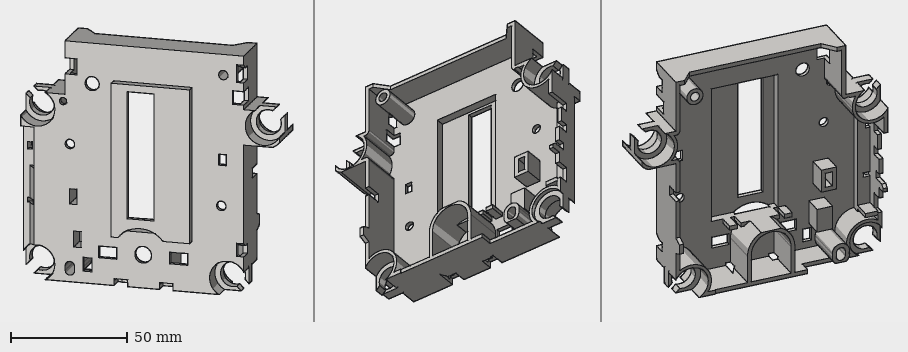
import cadquery as cq
import math

LENGTH = 116.0
HEIGHT = 108.0
DEPTH = 20.2
WALL = 2.0
BOSS_BACK = 19.8
LOW_BACK = 14.2

BODY_RIGHT = 100.0
HEAD_LEFT = 19.8
SHOULDER_Z = 84.0
LUG_BOTTOM_Z = 68.1

LUG_INSET = 7.2
LUG_TUBE_R = 9.6
LUG_BORE_R = 8.1
LUG_HOLE_R = 5.6
LUG_GAP = 5.0
WEB_FRONT = 8.0
WEB_BACK = 12.3
LUGS = [
    (LUG_INSET, LUG_INSET, 225),
    (LUG_INSET, SHOULDER_Z - LUG_INSET, 135),
    (LENGTH - LUG_INSET, SHOULDER_Z - LUG_INSET, 45),
    (BODY_RIGHT - LUG_INSET, LUG_INSET, 315),
]

PAD_HEIGHT = 4.0
PAD_FLOOR = 2.2
PAD_LEFT, PAD_RIGHT = 41.8, 76.9
PAD_BOTTOM, PAD_TOP = 23.0, 92.0
PAD_HOLLOW_BOTTOM = 25.0
WINDOW_LEFT, WINDOW_RIGHT = 49.0, 60.9
WINDOW_BOTTOM, WINDOW_TOP = 31.8, 88.7

CENTRE_X, CENTRE_Z = 54.9, 15.0
CENTRE_HOLE_R = 3.7
ARCH_R = 11.1
ARCH_WALL = 1.7
PAD_ARC_R = 12.9

LEDGE_WIDTH = 5.9
LEDGE_DEPTH = 4.0
RAMP_LEFT = 3.0
RAMP_TOP = 49.6

OVER = 1.2


def box(x0, x1, y0, y1, z0, z1):
    return cq.Workplane("XY").box(x1 - x0, y1 - y0, z1 - z0, centered=False).translate((x0, y0, z0))


def plane_at(y):
    return cq.Workplane("XZ", origin=(0, y, 0))


def cylinder(x, z, radius, y0, y1):
    return plane_at(y0).center(x, z).circle(radius).extrude(y0 - y1)


def obround(x, z0, z1, radius, y0, y1):
    """Upright slot shape whose round ends are centred at z0 and z1."""
    middle = box(x - radius, x + radius, y0, y1, z0, z1)
    return middle.union(cylinder(x, z0, radius, y0, y1)).union(cylinder(x, z1, radius, y0, y1))


def side_profile(points, x0, x1):
    """Prism along X from (y, z) points."""
    return cq.Workplane("YZ", origin=(x0, 0, 0)).polyline(points).close().extrude(x1 - x0)


def outline(y):
    reach = LUG_TUBE_R
    lug_x, lug_z, _ = LUGS[2]
    arc_x = lug_x + math.sqrt(reach**2 - (lug_z - LUG_BOTTOM_Z) ** 2)
    arc_z = lug_z - math.sqrt(reach**2 - (LENGTH - lug_x) ** 2)
    middle = (lug_x + reach * math.sqrt(0.5), lug_z - reach * math.sqrt(0.5))
    return (
        plane_at(y)
        .moveTo(0, 0)
        .lineTo(BODY_RIGHT, 0)
        .lineTo(BODY_RIGHT, LUG_BOTTOM_Z)
        .lineTo(arc_x, LUG_BOTTOM_Z)
        .threePointArc(middle, (LENGTH, arc_z))
        .lineTo(LENGTH, SHOULDER_Z)
        .lineTo(BODY_RIGHT, SHOULDER_Z)
        .lineTo(BODY_RIGHT, HEIGHT)
        .lineTo(HEAD_LEFT, HEIGHT)
        .lineTo(HEAD_LEFT, SHOULDER_Z)
        .lineTo(0, SHOULDER_Z)
        .close()
    )


envelope = outline(0).extrude(-DEPTH)
cavity = outline(WALL).offset2D(-WALL).extrude(WALL - DEPTH)
body = envelope.cut(cavity)

ledge_back = box(0, LEDGE_WIDTH + WALL, 0, LEDGE_DEPTH + WALL, 0, LUG_BOTTOM_Z)
ledge_cut = box(-OVER, LEDGE_WIDTH, -OVER, LEDGE_DEPTH, -OVER, LUG_BOTTOM_Z)
ramp = (
    cq.Workplane("XY")
    .polyline([(RAMP_LEFT, LEDGE_DEPTH), (LEDGE_WIDTH, LEDGE_DEPTH), (LEDGE_WIDTH, 0)])
    .close()
    .extrude(RAMP_TOP)
)
body = body.union(ledge_back).cut(ledge_cut).union(ramp)

for x, z, _ in LUGS:
    tube = cylinder(x, z, LUG_TUBE_R, LEDGE_DEPTH, DEPTH)
    tube = tube.union(cylinder(x, z, LUG_TUBE_R, 0, LEDGE_DEPTH).cut(ledge_cut))
    body = body.union(tube.intersect(envelope))

LOW_CORNER_RIGHT, LOW_CORNER_TOP = 37.7, 18.9
FINGER_TOP, FINGER_BACK, FINGER_BEVEL = 34.9, 19.5, 1.5
LEFT_WALL_STEPS = [
    (LOW_CORNER_TOP, 26.6, 9.9),
    (26.6, 31.7, 15.1),
    (31.7, FINGER_TOP, FINGER_BACK),
    (FINGER_TOP, 38.4, 12.0),
    (38.4, 45.6, 15.1),
    (45.6, 49.5, 9.9),
    (49.5, 56.8, 13.5),
    (56.8, 60.9, 9.9),
]
for z0, z1, back in LEFT_WALL_STEPS:
    body = body.cut(box(-OVER, WALL, back, DEPTH + OVER, z0, z1))
bevel_points = [
    (FINGER_BACK, FINGER_TOP),
    (FINGER_BACK - FINGER_BEVEL, FINGER_TOP),
    (FINGER_BACK, FINGER_TOP - FINGER_BEVEL),
]
body = body.cut(side_profile(bevel_points, -OVER, WALL))

body = body.cut(box(-OVER, LOW_CORNER_RIGHT, LOW_BACK, DEPTH + OVER, -OVER, LOW_CORNER_TOP))
LOW_RIB_TOP = 19.8
low_rib = box(WALL, LEDGE_WIDTH + WALL, LEDGE_DEPTH, LOW_BACK, LOW_RIB_TOP - WALL, LOW_RIB_TOP)
body = body.union(low_rib)

LOWER_WALL_RIGHT = 81.2
body = body.cut(box(LOW_CORNER_RIGHT, LOWER_WALL_RIGHT, BOSS_BACK, DEPTH + OVER, -OVER, WALL))

RIGHT_NOTCH = (13.5, 49.5, 53.8)
TOP_NOTCH_FLOOR = 14.3
notch_floor, notch_low, notch_high = RIGHT_NOTCH
body = body.cut(box(BODY_RIGHT - WALL, BODY_RIGHT, notch_floor, DEPTH, notch_low, notch_high))
top_notch = (
    cq.Workplane("XY", origin=(0, 0, HEIGHT - WALL))
    .polyline([(24.0, DEPTH), (29.0, TOP_NOTCH_FLOOR), (90.8, TOP_NOTCH_FLOOR), (95.8, DEPTH)])
    .close()
    .extrude(WALL)
)
body = body.cut(top_notch)

pad = box(PAD_LEFT, PAD_RIGHT, -PAD_HEIGHT, WALL, PAD_BOTTOM, PAD_TOP)
pad_hollow = box(
    PAD_LEFT + WALL,
    PAD_RIGHT - WALL,
    PAD_FLOOR - PAD_HEIGHT,
    WALL,
    PAD_HOLLOW_BOTTOM,
    PAD_TOP - WALL,
)
window = box(WINDOW_LEFT, WINDOW_RIGHT, -PAD_HEIGHT, WALL, WINDOW_BOTTOM, WINDOW_TOP)
pad_arc = cylinder(CENTRE_X, CENTRE_Z, PAD_ARC_R, -PAD_HEIGHT, 0)
body = body.union(pad).cut(pad_hollow).cut(window).cut(pad_arc)

def arch(radius):
    """Upright arch with straight legs and a flattened crown."""
    shape = cylinder(CENTRE_X, CENTRE_Z, radius, WALL, BOSS_BACK)
    shape = shape.union(box(CENTRE_X - radius, CENTRE_X + radius, WALL, BOSS_BACK, WALL, CENTRE_Z))
    return shape.intersect(box(0, BODY_RIGHT, WALL, BOSS_BACK, WALL, PAD_HOLLOW_BOTTOM))


body = body.union(arch(ARCH_R).cut(arch(ARCH_R - ARCH_WALL)))

TAB_BOTTOM = PAD_HOLLOW_BOTTOM - WALL
TABS = [
    (-14.7, -11.1, 9.0),
    (-9.2, 9.2, 8.4),
    (11.1, 14.7, 9.0),
]
for x0, x1, back in TABS:
    tab = box(CENTRE_X + x0, CENTRE_X + x1, WALL, back, TAB_BOTTOM, PAD_HOLLOW_BOTTOM)
    body = body.union(tab)

SLEEVE_BACK = 10.7


def add_sleeved_slot(part, x0, x1, z0, z1, slot_back):
    """Puts a sleeve behind the plate and sinks the slot into it as far as slot_back."""
    sleeve = box(x0 - WALL, x1 + WALL, 0, SLEEVE_BACK, z0 - WALL, z1 + WALL)
    slot = box(x0, x1, 0, slot_back, z0, z1)
    return part.union(sleeve).cut(slot)


body = add_sleeved_slot(body, 21.9, 25.2, 34.9, 41.8, SLEEVE_BACK)
body = add_sleeved_slot(body, 23.8, 27.1, 15.8, 23.0, SLEEVE_BACK - WALL)

SLOT_X, SLOT_LOW, SLOT_HIGH, SLOT_R = 22.0, 5.1, 7.1, 2.1
SLOT_BOSS_R = 4.1
PEG_X, PEG_Z, PEG_BOSS_R = 90.8, 98.7, 3.8
slot_boss = obround(SLOT_X, SLOT_LOW, SLOT_HIGH, SLOT_BOSS_R, 0, BOSS_BACK)
slot_boss = slot_boss.cut(box(0, BODY_RIGHT, LOW_BACK, DEPTH, 0, WALL))
body = body.union(slot_boss).union(cylinder(PEG_X, PEG_Z, PEG_BOSS_R, 0, BOSS_BACK))

PIN_BACK = 24.0
PIN_LOW, PIN_HIGH = 24.1, 31.7
PIN_TAPER = 1.5
pin_points = [
    (LOW_BACK, PIN_LOW),
    (DEPTH, PIN_LOW),
    (PIN_BACK, PIN_LOW + PIN_TAPER),
    (PIN_BACK, PIN_HIGH - PIN_TAPER),
    (DEPTH, PIN_HIGH),
    (LOW_BACK, PIN_HIGH),
]
body = body.union(side_profile(pin_points, BODY_RIGHT - WALL, BODY_RIGHT))

for x, z, angle in LUGS:
    gap = (
        box(0, 2 * LUG_TUBE_R, -OVER, DEPTH + OVER, -LUG_GAP / 2, LUG_GAP / 2)
        .rotate((0, 0, 0), (0, 1, 0), -angle)
        .translate((x, 0, z))
    )
    body = body.cut(gap)
    body = body.cut(cylinder(x, z, LUG_HOLE_R, 0, DEPTH))
    body = body.cut(cylinder(x, z, LUG_BORE_R, 0, WEB_FRONT))
    body = body.cut(cylinder(x, z, LUG_BORE_R, WEB_BACK, DEPTH))

ROUND_HOLES = [
    (32.0, 89.8, 3.1),
    (19.0, 80.9, 1.6),
    (22.0, 61.8, 2.1),
    (PEG_X, PEG_Z, 2.1),
    (89.9, 39.9, 2.1),
    (CENTRE_X, CENTRE_Z, CENTRE_HOLE_R),
]
for x, z, radius in ROUND_HOLES:
    body = body.cut(cylinder(x, z, radius, 0, DEPTH))
body = body.cut(obround(SLOT_X, SLOT_LOW, SLOT_HIGH, SLOT_R, 0, DEPTH))

OPENINGS = [
    (27.8, 31.9, 5.3, 11.5),
    (34.9, 43.0, 12.0, 17.2),
    (66.7, 74.8, 12.0, 17.2),
    (88.7, 92.1, 58.1, 63.0),
    (2.0, 4.1, 56.8, 60.1),
    (2.0, 5.1, 33.0, 35.0),
]
for x0, x1, z0, z1 in OPENINGS:
    body = body.cut(box(x0, x1, 0, LEDGE_DEPTH + WALL, z0, z1))

CORNER_WINDOW_DEPTH = 7.3
body = body.cut(box(HEAD_LEFT, 25.2, 0, CORNER_WINDOW_DEPTH, 93.1, 100.3))
body = body.cut(box(94.9, BODY_RIGHT, 0, CORNER_WINDOW_DEPTH, 86.0, 92.0))

SNAP_DEPTH = 5.8
SNAP_SLOPE_DEPTH = 2.8
SNAP_LEFT = 96.9
EDGE_NOTCH_HEIGHT = 3.1


def snap_pocket(z0, z1, slope):
    """Pocket at the right edge whose upper end slopes inwards."""
    points = [(0, z0), (0, z1), (SNAP_SLOPE_DEPTH, z1 - slope)]
    points += [(SNAP_DEPTH, z1 - slope), (SNAP_DEPTH, z0)]
    return side_profile(points, SNAP_LEFT, BODY_RIGHT)


body = body.cut(snap_pocket(95.9, 103.9, 2.0)).cut(snap_pocket(17.9, 23.8, 1.6))


def edge_notch(inner_x, slope_x, outer_x, extra_depth):
    """Notch in the lower edge that gets deeper from slope_x to outer_x."""
    points = [(inner_x, 0), (outer_x, 0), (outer_x, SNAP_DEPTH + extra_depth)]
    points += [(slope_x, SNAP_DEPTH), (inner_x, SNAP_DEPTH)]
    return cq.Workplane("XY").polyline(points).close().extrude(EDGE_NOTCH_HEIGHT)


body = body.cut(edge_notch(47.9, 43.7, 41.8, 0.8))
body = body.cut(edge_notch(62.2, 66.2, 68.2, 3.5))

result = body